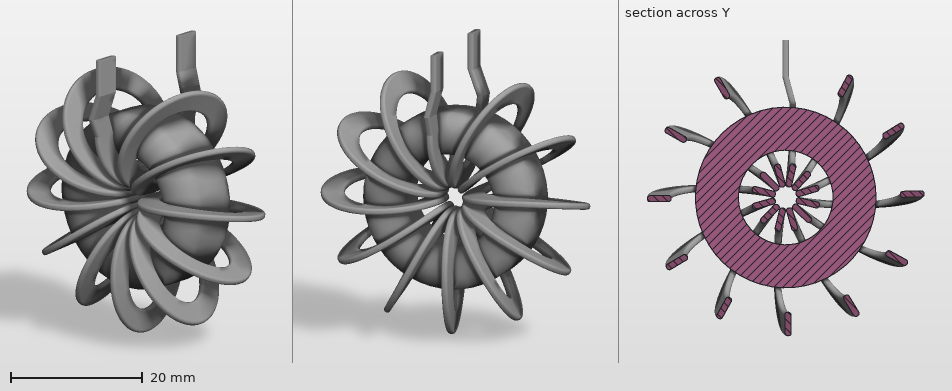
import cadquery as cq
import math

CORE_OUTER_RADIUS = 13.73
CORE_INNER_RADIUS = 7.15
CORE_DEPTH = 11.75

WIRE_THICKNESS = 1.0
WIRE_FILLET = 0.4
COIL_OUTER_REACH = 21.0
COIL_RADIUS = 9.7
COIL_WIRE_WIDTH = 3.65
FULL_TURNS = 11
WOUND_ANGLE = 347
STATIONS_PER_HALF_TURN = 12
ORIGIN = (0, 0, 0)
WINDING_AXIS = (0, -1, 0)
START_ANGLE = 90
END_ANGLE = START_ANGLE + FULL_TURNS * 360 + 180
pitch = WOUND_ANGLE * 360 / (END_ANGLE - START_ANGLE)
TOP_POSITION = 90

TOTAL_DEPTH = 22.15
TOTAL_HEIGHT = 44.85
LEAD_WIDTH = 4.0
JOG_START_Z = 11.25
JOG_END_Z = 14.25
LEAD_STRAIGHT_Z = 18.3

coil_center_radius = COIL_OUTER_REACH - COIL_RADIUS
wire_center_radius = COIL_RADIUS - COIL_WIRE_WIDTH / 2
lead_top_z = TOTAL_HEIGHT - COIL_OUTER_REACH
lead_y = TOTAL_DEPTH / 2 - LEAD_WIDTH / 2


def make_core():
    section_width = CORE_OUTER_RADIUS - CORE_INNER_RADIUS
    center_radius = (CORE_OUTER_RADIUS + CORE_INNER_RADIUS) / 2
    section = cq.Workplane("XY").center(center_radius, 0).slot2D(CORE_DEPTH, section_width, 90)
    return section.revolve(360, (-center_radius, 0, 0), (-center_radius, 1, 0))


def wire_section(center, width_direction, thickness_direction, width):
    """Closed outline of the flat wire: a rectangle with four rounded corners."""
    half_width = width / 2
    half_thickness = WIRE_THICKNESS / 2
    flat_width = half_width - WIRE_FILLET
    flat_thickness = half_thickness - WIRE_FILLET
    arc_reach = WIRE_FILLET * math.sqrt(0.5)

    def point(along, across):
        return center + width_direction * along + thickness_direction * across

    edges = []
    for side in (1, -1):
        low = point(side * half_width, -side * flat_thickness)
        high = point(side * half_width, side * flat_thickness)
        low_mid = point(side * (flat_width + arc_reach), -side * (flat_thickness + arc_reach))
        high_mid = point(side * (flat_width + arc_reach), side * (flat_thickness + arc_reach))
        low_face = point(side * flat_width, -side * half_thickness)
        high_face = point(side * flat_width, side * half_thickness)
        next_face = point(-side * flat_width, side * half_thickness)
        edges.append(cq.Edge.makeThreePointArc(low_face, low_mid, low))
        edges.append(cq.Edge.makeLine(low, high))
        edges.append(cq.Edge.makeThreePointArc(high, high_mid, high_face))
        edges.append(cq.Edge.makeLine(high_face, next_face))
    return cq.Wire.assembleEdges(edges)


def core_position(winding_angle):
    """Angle around the core, in radians, reached at a winding angle."""
    return math.radians(TOP_POSITION + pitch * winding_angle / 360)


def coil_section(winding_angle):
    """Wire outline at a winding angle: 0 is outermost, 90 is the -Y side."""
    winding = math.radians(winding_angle)
    position = core_position(winding_angle)
    radial = cq.Vector(math.cos(position), 0, math.sin(position))
    tangential = cq.Vector(-math.sin(position), 0, math.cos(position))
    outward = radial * math.cos(winding) + cq.Vector(0, -math.sin(winding), 0)
    center = radial * coil_center_radius + outward * wire_center_radius
    return wire_section(center, outward, tangential, COIL_WIRE_WIDTH)


def make_half_turn(start):
    """Open skin of half a turn of wire."""
    step = 180 / STATIONS_PER_HALF_TURN
    sections = [coil_section(start + i * step) for i in range(STATIONS_PER_HALF_TURN + 1)]
    return cq.occ_impl.shapes.loft(sections, cap=False)


def make_coil():
    """Half turns through the bore alternate with half turns around the outside."""
    inner_half = make_half_turn(START_ANGLE)
    outer_half = make_half_turn(START_ANGLE + 180)
    inner_halves = [inner_half.rotate(ORIGIN, WINDING_AXIS, pitch * i) for i in range(FULL_TURNS + 1)]
    outer_halves = [outer_half.rotate(ORIGIN, WINDING_AXIS, pitch * i) for i in range(FULL_TURNS)]
    return inner_halves + outer_halves


def make_lead(winding_angle, side):
    """Skins of a lead from the coil end to its closed tip; side is -1 for front, 1 for back."""
    position = core_position(winding_angle)
    offset_x = coil_center_radius * math.cos(position)

    def section(x, y, z, width):
        return wire_section(cq.Vector(x, side * y, z), cq.Vector(0, side, 0), cq.Vector(-1, 0, 0), width)

    jog_start = section(offset_x, wire_center_radius, JOG_START_Z, COIL_WIRE_WIDTH)
    jog_end = section(offset_x, lead_y, JOG_END_Z, LEAD_WIDTH)
    bend_end = section(0, lead_y, LEAD_STRAIGHT_Z, LEAD_WIDTH)
    tip = section(0, lead_y, lead_top_z, LEAD_WIDTH)
    stages = [coil_section(winding_angle), jog_start, jog_end, bend_end, tip]
    skins = [cq.occ_impl.shapes.loft([low, high], cap=False, ruled=True) for low, high in zip(stages, stages[1:])]
    skins.append(cq.Face.makeFromWires(tip))
    return skins


def make_winding():
    """Sew the open skins of all pieces and the two lead tips into one solid."""
    skins = make_lead(START_ANGLE, -1) + make_coil() + make_lead(END_ANGLE, 1)
    faces = [face for skin in skins for face in skin.Faces()]
    return cq.Solid.makeSolid(cq.Shell.makeShell(faces))


core = make_core()
winding = make_winding()
result = cq.Compound.makeCompound([core.val(), winding])